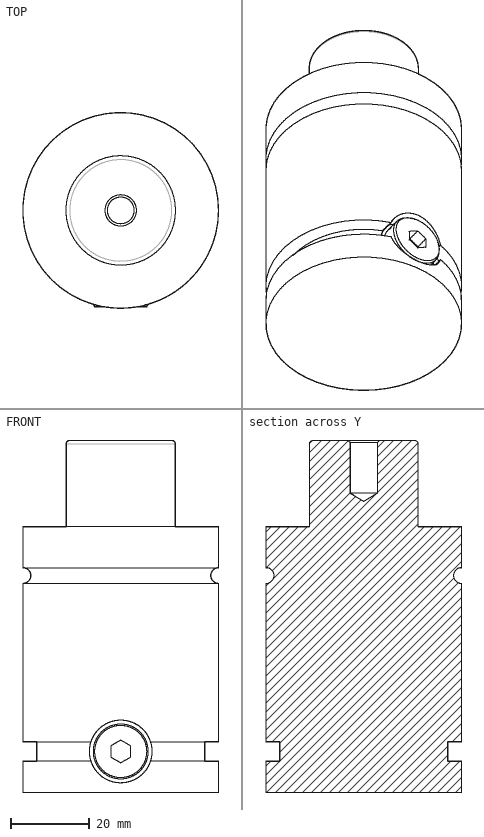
import cadquery as cq
import math

body_diameter = 50.0
body_radius = body_diameter / 2
body_height = 67.95
total_height = 90.0

rod_diameter = 28.0
rod_edge_radius = 1.0
rod_hole_diameter = 6.8
rod_hole_rim_diameter = 8.0
rod_hole_depth = 13.5
drill_tip_angle = 118.0

lower_groove_bottom = 8.0
lower_groove_width = 4.95
lower_groove_diameter = 43.0
upper_groove_center = 55.4
upper_groove_radius = 2.0

plug_center = lower_groove_bottom + lower_groove_width / 2
recess_diameter = 16.0
recess_floor = 19.8
plug_diameter = 14.0
plug_face = 24.7
plug_chamfer_width = 0.4
plug_chamfer_length = 0.6
socket_across_flats = 5.0
socket_depth = 3.6


def make_body_and_rod():
    body = cq.Workplane("XY").circle(body_radius).extrude(body_height)
    rod = (
        cq.Workplane("XY", origin=(0, 0, body_height))
        .circle(rod_diameter / 2)
        .extrude(total_height - body_height)
        .faces(">Z")
        .edges()
        .fillet(rod_edge_radius)
    )
    return body.union(rod)


def make_lower_groove():
    return (
        cq.Workplane("XY", origin=(0, 0, lower_groove_bottom))
        .circle(body_radius)
        .circle(lower_groove_diameter / 2)
        .extrude(lower_groove_width)
    )


def make_upper_groove():
    """Ring of round section centered on the body's outer surface."""
    return (
        cq.Workplane("XZ")
        .center(body_radius, upper_groove_center)
        .circle(upper_groove_radius)
        .revolve(360, (-body_radius, 0, 0), (-body_radius, 1, 0))
    )


def make_rod_hole():
    """Blind drilled hole with a 45 degree rim chamfer and a conical bottom."""
    hole_radius = rod_hole_diameter / 2
    rim_radius = rod_hole_rim_diameter / 2
    rim_depth = rim_radius - hole_radius
    shoulder = total_height - rod_hole_depth
    tip_depth = hole_radius / math.tan(math.radians(drill_tip_angle / 2))
    profile = [
        (0, total_height),
        (rim_radius, total_height),
        (hole_radius, total_height - rim_depth),
        (hole_radius, shoulder),
        (0, shoulder - tip_depth),
    ]
    return cq.Workplane("XZ").polyline(profile).close().revolve(360, (0, 0, 0), (0, 1, 0))


def make_recess():
    return (
        cq.Workplane("XZ", origin=(0, -recess_floor, plug_center))
        .circle(recess_diameter / 2)
        .extrude(body_radius - recess_floor)
    )


def make_plug():
    """Plug standing on the recess floor, with a narrow gap around it and a beveled outer rim."""
    rim_start = plug_face - plug_chamfer_length
    face_radius = plug_diameter / 2 - plug_chamfer_width
    profile = [
        (0, recess_floor),
        (plug_diameter / 2, recess_floor),
        (plug_diameter / 2, rim_start),
        (face_radius, plug_face),
        (0, plug_face),
    ]
    plane = cq.Plane(origin=(0, 0, plug_center), xDir=(1, 0, 0), normal=(0, 0, -1))
    return cq.Workplane(plane).polyline(profile).close().revolve(360, (0, 0, 0), (0, 1, 0))


def make_socket():
    """Hexagonal key socket with corners at top and bottom."""
    across_corners = socket_across_flats / math.cos(math.radians(30))
    return (
        cq.Workplane("XZ", origin=(0, -plug_face + socket_depth, plug_center))
        .transformed(rotate=(0, 0, 90))
        .polygon(6, across_corners)
        .extrude(socket_depth)
    )


result = (
    make_body_and_rod()
    .cut(make_lower_groove())
    .cut(make_upper_groove())
    .cut(make_rod_hole())
    .cut(make_recess())
    .union(make_plug())
    .cut(make_socket())
)